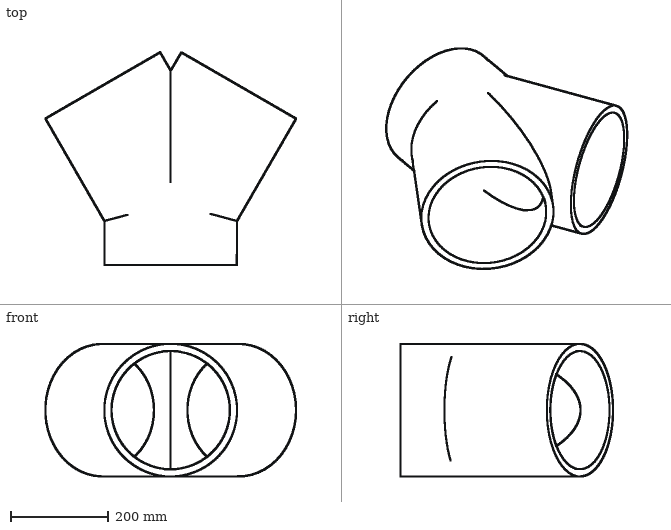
import cadquery as cq
import math

overall_width = 516.0
overall_depth = 437.5
outer_radius = 273.0 / 2
bore_radius = 243.0 / 2
branch_angle = 30.0

tilt = math.radians(branch_angle)
branch_length = (overall_width / 2 - outer_radius * math.cos(tilt)) / math.sin(tilt)
branch_reach = branch_length * math.cos(tilt) + outer_radius * math.sin(tilt)
trunk_length = overall_depth - branch_reach


def rod(radius, length, angle):
    """Cylinder from the origin in the XY plane, angle measured from +Y towards +X."""
    heading = math.radians(angle)
    direction = cq.Vector(math.sin(heading), math.cos(heading), 0)
    return cq.Workplane(cq.Solid.makeCylinder(radius, length, cq.Vector(0, 0, 0), direction))


def wye(radius):
    """Solid Y shape: a trunk towards -Y and two mirrored branches."""
    body = rod(radius, trunk_length, 180)
    for side in (-1, 1):
        body = body.union(rod(radius, branch_length, side * branch_angle))
    return body


result = wye(outer_radius).cut(wye(bore_radius))